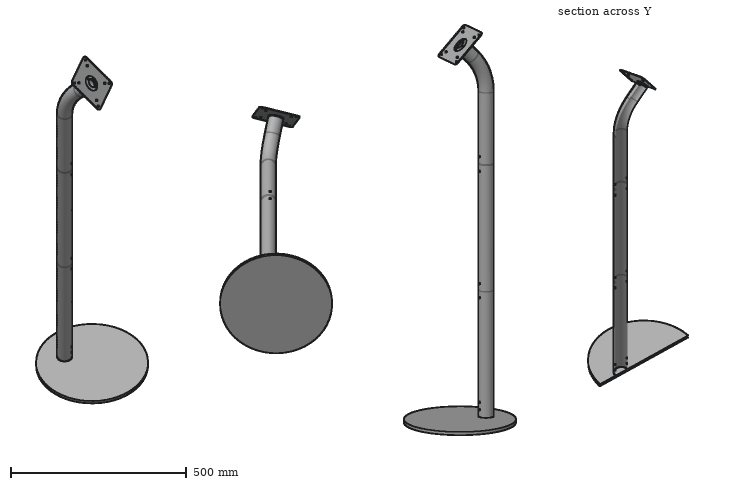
import cadquery as cq
import math

base_diameter = 320.0
base_thickness = 10.0

pole_x = -82.5
tube_diameter = 45.0
tube_bore = 41.0
section_length = 370.0
spacer_height = 2.0
total_height = 1149.64

bend_radius = 150.0
bend_angle = 45.0
neck_length = 52.5

plate_size = 120.0
plate_thickness = 2.5
plate_corner_radius = 9.0
mount_patterns = [(75.0, 5.2), (100.0, 4.5)]

cap_thickness = 3.0
cable_hole_diameter = 25.95
cap_screw_diameter = 3.5
cap_screw_radius = 16.75
cap_screw_angles = [0.0, 90.0, 180.0]

pin_diameter = 5.2
pin_spacing = 20.5
base_pin_spacing = 21.5

tilt = math.radians(bend_angle)
joint_low = base_thickness + section_length
joint_high = joint_low + section_length
upper_start = joint_high + spacer_height
plate_top = neck_length + plate_thickness
plate_rise = plate_top * math.cos(tilt) + plate_size / 2 * math.sin(tilt)
neck_x = pole_x + bend_radius * (1 - math.cos(tilt))
neck_z = total_height - plate_rise
bend_start = neck_z - bend_radius * math.sin(tilt)

neck_direction = cq.Vector(math.sin(tilt), 0, math.cos(tilt))
plate_slope = cq.Vector(math.cos(tilt), 0, -math.sin(tilt))


def pole_workplane(height):
    return cq.Workplane("XY", origin=(pole_x, 0, height))


def neck_workplane(distance):
    """Workplane across the neck, the given distance beyond the bend."""
    origin = cq.Vector(neck_x, 0, neck_z) + neck_direction * distance
    return cq.Workplane(cq.Plane(origin, plate_slope, neck_direction))


def tube_profile(workplane):
    return workplane.circle(tube_diameter / 2).circle(tube_bore / 2)


def base():
    return cq.Workplane("XY").circle(base_diameter / 2).extrude(base_thickness)


def straight_tube(start, end):
    return tube_profile(pole_workplane(start)).extrude(end - start)


def bent_tube():
    axis_start = (bend_radius, 0, 0)
    axis_end = (bend_radius, 1, 0)
    return tube_profile(pole_workplane(bend_start)).revolve(bend_angle, axis_start, axis_end)


def neck():
    """Straight tube above the bend, closed at its end by the cap."""
    tube = tube_profile(neck_workplane(0)).extrude(neck_length)
    cap = neck_workplane(neck_length - cap_thickness).circle(tube_bore / 2).extrude(cap_thickness)
    return tube.union(cap)


def mounting_plate():
    outline = cq.Sketch().rect(plate_size, plate_size).vertices().fillet(plate_corner_radius)
    plate = neck_workplane(neck_length).placeSketch(outline).extrude(plate_thickness)
    for pitch, diameter in mount_patterns:
        corners = neck_workplane(neck_length).rect(pitch, pitch, forConstruction=True).vertices()
        plate = plate.cut(corners.circle(diameter / 2).extrude(plate_thickness))
    return plate


def cap_openings():
    """Cable hole and screw holes that run through both the plate and the cap."""
    start = neck_length - cap_thickness
    depth = cap_thickness + plate_thickness
    openings = neck_workplane(start).circle(cable_hole_diameter / 2).extrude(depth)
    for angle in cap_screw_angles:
        direction = math.radians(angle)
        across = cap_screw_radius * math.cos(direction)
        along_y = cap_screw_radius * math.sin(direction)
        screw = neck_workplane(start).center(across, along_y).circle(cap_screw_diameter / 2)
        openings = openings.union(screw.extrude(depth))
    return openings


def pin_hole(height):
    """Drill along X, right through both walls of the pole."""
    start = pole_x - tube_diameter
    drill = cq.Workplane("YZ", origin=(start, 0, height)).circle(pin_diameter / 2)
    return drill.extrude(2 * tube_diameter)


result = base()
tube_ends = [base_thickness, joint_low, joint_high, upper_start, bend_start]
for start, end in zip(tube_ends, tube_ends[1:]):
    result = result.union(straight_tube(start, end), clean=False)
for piece in [bent_tube(), neck(), mounting_plate()]:
    result = result.union(piece, clean=False)
result = result.cut(cap_openings(), clean=False)

pin_heights = [
    base_thickness + base_pin_spacing,
    base_thickness + 2 * base_pin_spacing,
    joint_low - pin_spacing,
    joint_low + pin_spacing,
    joint_high - pin_spacing,
    upper_start + pin_spacing,
]
for height in pin_heights:
    result = result.cut(pin_hole(height), clean=False)